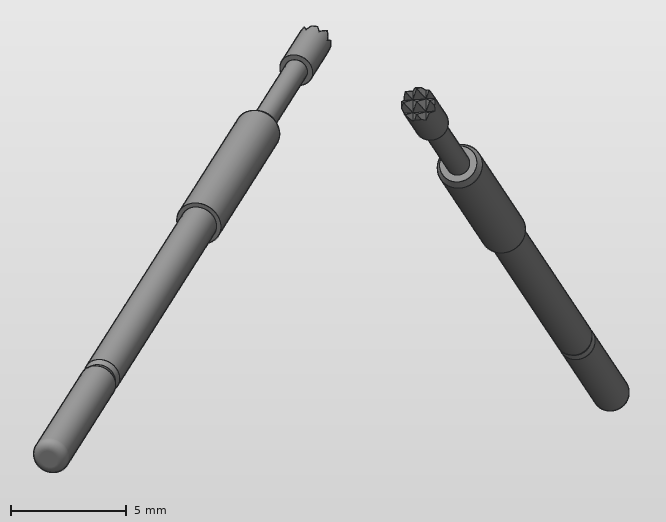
import cadquery as cq
import math

total_length = 39.3
head_length = 3.0
head_radius = 0.75
plunger_radius = 0.5
collar_diameter = 2.0
collar_radius = collar_diameter / 2
collar_front = 30.65
collar_rear = 22.0
nose_length = 0.3
nose_radius = 0.83
barrel_diameter = 1.6
barrel_radius = barrel_diameter / 2
tail_fillet = 0.4

groove_front = 7.8
groove_rear = 7.2
groove_depth = 0.1

tip_pitch = 0.6
tips_per_row = 3
groove_angle = 55.0
groove_count = tips_per_row + 1
cut_depth = tip_pitch / 2 / math.tan(math.radians(groove_angle / 2))


def cylinder(radius, start, end):
    """Solid cylinder on the Y axis between two stations."""
    return cq.Workplane("XZ", origin=(0, start, 0)).circle(radius).extrude(start - end)


def make_barrel():
    """Rear barrel with a rounded end and a V ring groove."""
    barrel = cylinder(barrel_radius, 0, collar_rear).faces("<Y").edges().fillet(tail_fillet)
    groove = (
        cq.Workplane("XY")
        .moveTo(barrel_radius, groove_rear)
        .lineTo(barrel_radius - groove_depth, (groove_rear + groove_front) / 2)
        .lineTo(barrel_radius, groove_front)
        .close()
        .revolve(360, (0, 0, 0), (0, 1, 0))
    )
    return barrel.cut(groove)


def make_collar():
    """Collar with a conical nose around the plunger."""
    return (
        cq.Workplane("XY")
        .moveTo(0, collar_rear)
        .lineTo(collar_radius, collar_rear)
        .lineTo(collar_radius, collar_front)
        .lineTo(nose_radius, collar_front + nose_length)
        .lineTo(0, collar_front + nose_length)
        .close()
        .revolve(360, (0, 0, 0), (0, 1, 0))
    )


def make_head():
    """Plunger head with its serrated crown."""
    head = cylinder(head_radius, total_length - head_length, total_length)
    for index in range(groove_count):
        offset = (index - (groove_count - 1) / 2) * tip_pitch
        cutter = (
            cq.Workplane("XY")
            .moveTo(offset - tip_pitch / 2, total_length)
            .lineTo(offset, total_length - cut_depth)
            .lineTo(offset + tip_pitch / 2, total_length)
            .close()
            .extrude(head_radius * 2, both=True)
        )
        head = head.cut(cutter)
        head = head.cut(cutter.rotate((0, 0, 0), (0, 1, 0), 90))
    return head


plunger = cylinder(plunger_radius, collar_front, total_length - head_length)
result = make_barrel().union(make_collar()).union(plunger).union(make_head())